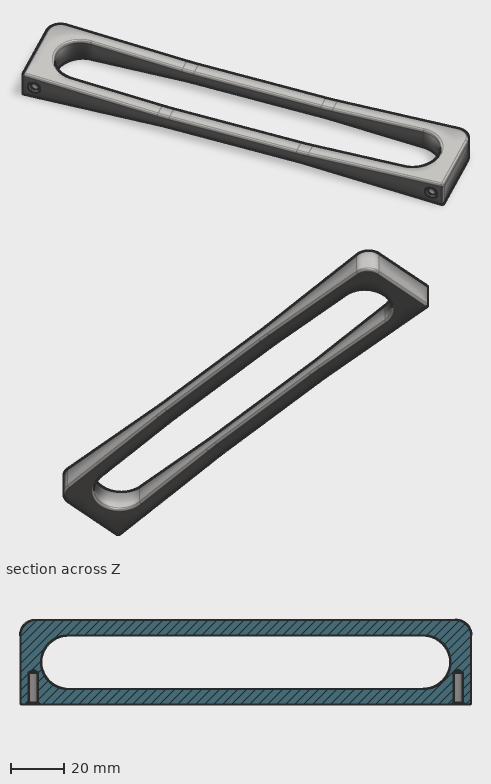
import cadquery as cq
import math

LENGTH = 170.0
DEPTH = 32.0
WAIST_THICKNESS = 5.7
END_THICKNESS = 11.08
WAIST_LENGTH = 56.0
WAIST_BLEND_RADIUS = 100.0
BACK_CORNER_RADIUS = 6.0
EDGE_RADIUS = 1.0

RAIL_WIDTH = 6.0
END_WALL = 8.0
SLOT_WIDTH = DEPTH - 2 * RAIL_WIDTH
SLOT_LENGTH = LENGTH - 2 * END_WALL

HOLE_SPACING = 160.0
HOLE_DIAMETER = 3.3
HOLE_DEPTH = 12.0
COUNTERSINK_DIAMETER = 5.0
COUNTERSINK_ANGLE = 90.0
DRILL_POINT_ANGLE = 118.0


def tapered_body():
    """Bar with a thin flat waist that blends into straight tapers towards both ends."""
    end_x = LENGTH / 2
    end_z = END_THICKNESS / 2
    bend_x = WAIST_LENGTH / 2
    waist_z = WAIST_THICKNESS / 2
    taper_angle = math.atan2(end_z - waist_z, end_x - bend_x)
    tangent_length = WAIST_BLEND_RADIUS * math.tan(taper_angle / 2)
    blend_end = (
        bend_x + tangent_length * math.cos(taper_angle),
        waist_z + tangent_length * math.sin(taper_angle),
    )
    upper_right_profile = (
        cq.Workplane("XZ")
        .moveTo(0, waist_z)
        .hLineTo(bend_x - tangent_length)
        .tangentArcPoint(blend_end, relative=False)
        .lineTo(end_x, end_z)
        .vLineTo(0)
    )
    bar = upper_right_profile.mirrorX().mirrorY().extrude(DEPTH / 2, both=True)
    return bar.edges("|Z and >Y").fillet(BACK_CORNER_RADIUS)


def cut_grip_opening(body):
    """Round-ended opening that leaves a rail at the front and at the back."""
    cutter = cq.Workplane("XY").slot2D(SLOT_LENGTH, SLOT_WIDTH).extrude(END_THICKNESS, both=True)
    return body.cut(cutter)


def round_edges(body):
    """Round the front corners and every edge of the upper and lower faces."""
    front_corners = "(|Z and <Y)"
    end_edges = "(|Y and (<X or >X))"
    long_and_curved_edges = "(not(|Z or |Y))"
    return body.edges(f"{front_corners} or {end_edges} or {long_and_curved_edges}").fillet(EDGE_RADIUS)


def mounting_hole(x):
    """Drilled hole with a countersunk mouth and a conical drill point, opening on the front face."""
    hole_radius = HOLE_DIAMETER / 2
    mouth_radius = COUNTERSINK_DIAMETER / 2
    countersink_depth = (mouth_radius - hole_radius) / math.tan(math.radians(COUNTERSINK_ANGLE / 2))
    tip_length = hole_radius / math.tan(math.radians(DRILL_POINT_ANGLE / 2))
    half_section = [
        (0, 0),
        (mouth_radius, 0),
        (hole_radius, countersink_depth),
        (hole_radius, HOLE_DEPTH),
        (0, HOLE_DEPTH + tip_length),
    ]
    cutter = cq.Workplane("XY").polyline(half_section).close().revolve(360, (0, 0, 0), (0, 1, 0))
    return cutter.translate((x, -DEPTH / 2, 0))


def drill_mounting_holes(body):
    """One hole near each end of the front face."""
    for x in (-HOLE_SPACING / 2, HOLE_SPACING / 2):
        body = body.cut(mounting_hole(x))
    return body


handle = tapered_body()
handle = cut_grip_opening(handle)
handle = round_edges(handle)
result = drill_mounting_holes(handle)